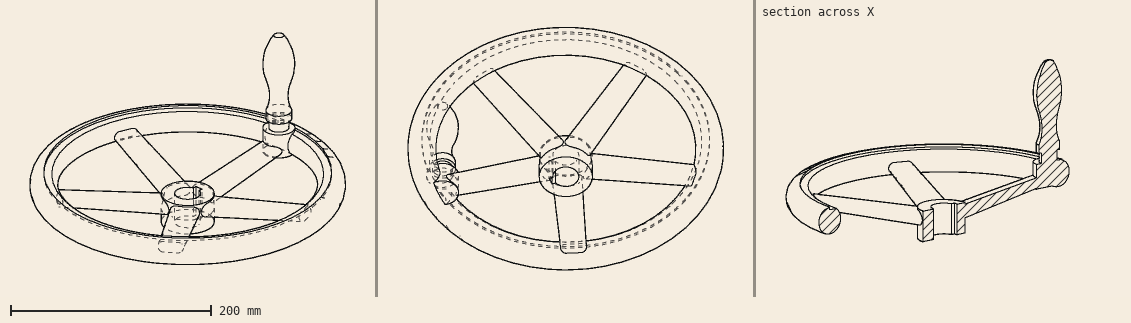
import cadquery as cq
import math

wheel_diameter = 315.0
rim_section_radius = 14.0
rim_bottom_z = 28.0
rim_shoulder_depth = 2.5
rim_center_radius = wheel_diameter / 2 - rim_section_radius
rim_center_z = rim_bottom_z + rim_section_radius
rim_top_z = rim_center_z + rim_section_radius

hub_diameter = 53.0
hub_height = 32.0
bore_diameter = 26.0
keyway_width = 8.0
keyway_depth = 3.3

spoke_count = 5
spoke_flat_width = 15.0
spoke_inner_radius = 20.0
spoke_outer_radius = 139.0
spoke_inner_thickness = 15.0
spoke_outer_thickness = 10.5
spoke_inner_z = 22.0
spoke_outer_z = 40.0

handle_radius = 132.0
boss_diameter = 32.0
boss_bottom_z = 30.0

post_radius = 10.0
collar_radius = 13.0
collar_bottom_z = 66.5
collar_top_z = 75.5
neck_radius = 9.3
neck_z = 91.7
grip_start_radius = 11.2
grip_start_z = 105.0
grip_radius = 16.0
grip_widest_z = 127.5
tip_radius = 5.2
tip_z = 159.7
handle_top_z = 161.47


def concave_arc_midpoint(neck, end):
    """Middle point of an arc that leaves the neck parallel to the axis and reaches the end."""
    rise = end[1] - neck[1]
    spread = end[0] - neck[0]
    arc_radius = (rise**2 + spread**2) / (2 * spread)
    half_angle = math.asin(rise / arc_radius) / 2
    mid_radius = neck[0] + arc_radius * (1 - math.cos(half_angle))
    mid_z = neck[1] + arc_radius * math.sin(half_angle)
    return (mid_radius, mid_z)


def make_rim():
    rim = (
        cq.Workplane("XZ")
        .center(rim_center_radius, rim_center_z)
        .circle(rim_section_radius)
        .revolve(360, (-rim_center_radius, 0), (-rim_center_radius, 1))
    )
    shoulder = (
        cq.Workplane("XY")
        .workplane(offset=rim_top_z - rim_shoulder_depth)
        .circle(rim_center_radius)
        .extrude(rim_shoulder_depth)
    )
    return rim.cut(shoulder)


def make_hub():
    return cq.Workplane("XY").circle(hub_diameter / 2).extrude(hub_height)


def make_bore():
    bore = cq.Workplane("XY").circle(bore_diameter / 2).extrude(hub_height)
    keyway_top = bore_diameter / 2 + keyway_depth
    keyway = (
        cq.Workplane("XY")
        .center(0, keyway_top / 2)
        .rect(keyway_width, keyway_top)
        .extrude(hub_height)
    )
    return bore.union(keyway)


def make_spoke():
    """One spoke running along +Y from inside the hub to inside the rim."""
    return (
        cq.Workplane("XZ", origin=(0, spoke_inner_radius, spoke_inner_z))
        .slot2D(spoke_flat_width + spoke_inner_thickness, spoke_inner_thickness)
        .workplane(offset=spoke_inner_radius - spoke_outer_radius)
        .center(0, spoke_outer_z - spoke_inner_z)
        .slot2D(spoke_flat_width + spoke_outer_thickness, spoke_outer_thickness)
        .loft(ruled=True)
    )


def make_boss():
    return (
        cq.Workplane("XY", origin=(0, handle_radius, boss_bottom_z))
        .circle(boss_diameter / 2)
        .extrude(rim_top_z - boss_bottom_z)
    )


def make_handle():
    flare = (collar_radius, collar_top_z)
    neck = (neck_radius, neck_z)
    grip_start = (grip_start_radius, grip_start_z)
    tip = (tip_radius, tip_z)
    dome_height = handle_top_z - tip_z
    dome_radius = (tip_radius**2 + dome_height**2) / (2 * dome_height)
    dome_half_angle = math.asin(tip_radius / dome_radius) / 2
    dome_middle = (
        dome_radius * math.sin(dome_half_angle),
        handle_top_z - dome_radius * (1 - math.cos(dome_half_angle)),
    )
    profile = (
        cq.Workplane("XZ", origin=(0, handle_radius, 0))
        .moveTo(0, boss_bottom_z)
        .lineTo(post_radius, boss_bottom_z)
        .lineTo(post_radius, collar_bottom_z)
        .lineTo(collar_radius, collar_bottom_z)
        .lineTo(*flare)
        .threePointArc(concave_arc_midpoint(neck, flare), neck)
        .threePointArc(concave_arc_midpoint(neck, grip_start), grip_start)
        .threePointArc((grip_radius, grip_widest_z), tip)
        .threePointArc(dome_middle, (0, handle_top_z))
        .close()
    )
    return profile.revolve(360, (0, 0), (0, 1))


wheel = make_rim().union(make_hub())
for index in range(spoke_count):
    spoke_angle = index * 360 / spoke_count
    wheel = wheel.union(make_spoke().rotate((0, 0, 0), (0, 0, 1), spoke_angle))

result = wheel.union(make_boss()).union(make_handle()).cut(make_bore())